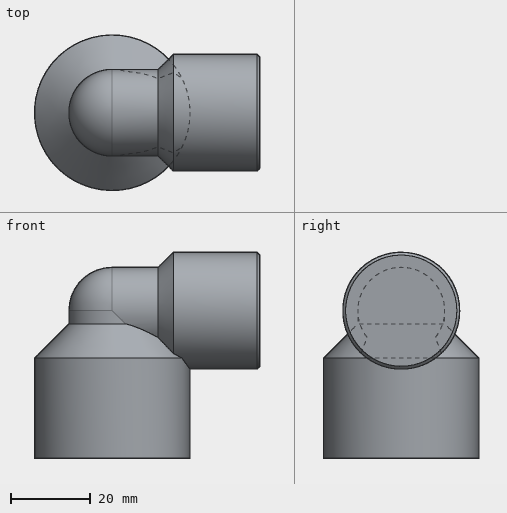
import cadquery as cq

elbow_diameter = 21.75
lower_socket_diameter = 39.0
side_socket_diameter = 29.3
overall_length = 56.5
overall_height = 51.65
lower_socket_height = 25.1
side_cone_start = 11.5
end_chamfer = 0.75

elbow_radius = elbow_diameter / 2
lower_radius = lower_socket_diameter / 2
side_radius = side_socket_diameter / 2
axis_height = overall_height - side_radius
side_end = overall_length - lower_radius

lower_cone_top = lower_socket_height + lower_radius - elbow_radius
side_cone_end = side_cone_start + side_radius - elbow_radius


def lower_branch():
    """Revolve the wide socket, its shoulder and the neck about Z."""
    return (
        cq.Workplane("XZ")
        .lineTo(lower_radius, 0)
        .lineTo(lower_radius, lower_socket_height)
        .lineTo(elbow_radius, lower_cone_top)
        .lineTo(elbow_radius, axis_height)
        .lineTo(0, axis_height)
        .close()
        .revolve(360, (0, 0), (0, 1))
    )


def side_branch():
    """Revolve the neck, shoulder and chamfered socket about the X axis line."""
    return (
        cq.Workplane("XY", origin=(0, 0, axis_height))
        .lineTo(0, elbow_radius)
        .lineTo(side_cone_start, elbow_radius)
        .lineTo(side_cone_end, side_radius)
        .lineTo(side_end - end_chamfer, side_radius)
        .lineTo(side_end, side_radius - end_chamfer)
        .lineTo(side_end, 0)
        .close()
        .revolve(360, (0, 0), (1, 0))
    )


def elbow_corner():
    """Round the outside of the bend with a ball at the axis crossing."""
    return cq.Workplane("XY", origin=(0, 0, axis_height)).sphere(elbow_radius)


result = lower_branch().union(side_branch()).union(elbow_corner())